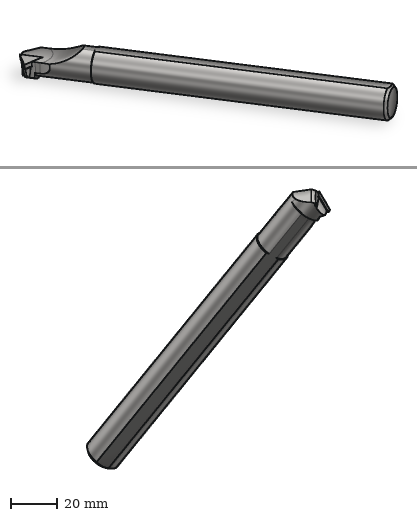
import cadquery as cq
import math

LENGTH = 169.7
SHANK_RADIUS = 8.1
NECK_RADIUS = 7.8
NECK_END = 34.6
ACROSS_FLATS = 15.1
FLAT_HEIGHT = ACROSS_FLATS / 2
END_CHAMFER = 1.4
STEP_CHAMFER = 0.3

OVERALL_HEIGHT = 16.3
HEAD_RADIUS = OVERALL_HEIGHT - FLAT_HEIGHT
HEAD_OFFSET = -1.0
HEAD_END = 8.7

NOSE_FRONT = 0.7
NOSE_BOTTOM_FRONT = 1.5
NOSE_CORNER = (1.2, 2.0)
NOSE_SHOULDER = (7.1, NECK_RADIUS)

RAKE_HEIGHT = 1.2
RAKE_ANGLE = 4.6
TROUGH_CENTRE_X = 3.7
TROUGH_FLOOR_RADIUS = 10.4
TROUGH_ARC_RADIUS = 20.4
TROUGH_ARC_ANGLE = math.radians(65)

INSERT_SIDE = 10.5
INSERT_BACK_Y = -1.4
INSERT_THICKNESS = 2.5
RELIEF_ANGLE = 7.0
SEAT_SETBACK = 0.3

FLANK_START_Y = -2.0
WALL_Y = -6.8
WALL_BEND_X = 8.8
WALL_INNER_Y = -6.3
WALL_END = 11.0
RUNOUT_RADIUS = 11.9
RUNOUT_LENGTH = 5.8

MARGIN = 17.0

tilt = math.radians(RAKE_ANGLE)
rake_plane = cq.Plane(
    origin=(0, 0, RAKE_HEIGHT),
    xDir=(1, 0, 0),
    normal=(0, -math.sin(tilt), math.cos(tilt)),
)
insert_tip = (INSERT_SIDE / 2, INSERT_BACK_Y - INSERT_SIDE * math.sqrt(3) / 2)


def x_cylinder(radius, start, end, y=0.0):
    return cq.Workplane("YZ", origin=(start, 0, 0)).center(y, 0).circle(radius).extrude(end - start)


def tapered_triangle(tip, side, depth):
    """Equilateral prism below the rake plane, pointing to -Y and narrowing downward."""
    back_y = tip[1] + side * math.sqrt(3) / 2
    corners = [(tip[0] - side / 2, back_y), tip, (tip[0] + side / 2, back_y)]
    return cq.Workplane(rake_plane).polyline(corners).close().extrude(-depth, taper=RELIEF_ANGLE)


def bar_blank():
    shank = x_cylinder(SHANK_RADIUS, NECK_END, LENGTH)
    shank = shank.faces(">X").chamfer(END_CHAMFER).faces("<X").chamfer(STEP_CHAMFER)
    bar = shank.union(x_cylinder(NECK_RADIUS, 0, NECK_END))
    flats = cq.Workplane("XY").box(2 * LENGTH, 2 * MARGIN, 2 * FLAT_HEIGHT)
    return bar.intersect(flats).union(x_cylinder(HEAD_RADIUS, 0, HEAD_END, HEAD_OFFSET))


def nose_cutter():
    """Everything in front of the rounded and bevelled nose."""
    slope = (NOSE_SHOULDER[1] - NOSE_CORNER[1]) / (NOSE_SHOULDER[0] - NOSE_CORNER[0])
    outside_x = NOSE_SHOULDER[0] + (MARGIN - NOSE_SHOULDER[1]) / slope
    return (
        cq.Workplane("XY", origin=(0, 0, -MARGIN))
        .moveTo(-MARGIN, FLANK_START_Y)
        .lineTo(NOSE_FRONT, FLANK_START_Y)
        .lineTo(NOSE_FRONT, 0)
        .tangentArcPoint(NOSE_CORNER, relative=False)
        .lineTo(outside_x, MARGIN)
        .lineTo(-MARGIN, MARGIN)
        .close()
        .extrude(2 * MARGIN)
    )


def nose_lean_cutter():
    """Wedge that leans the narrow front strip back toward the bottom."""
    corners = [
        (NOSE_FRONT, RAKE_HEIGHT),
        (NOSE_BOTTOM_FRONT, -HEAD_RADIUS),
        (-MARGIN, -HEAD_RADIUS),
        (-MARGIN, RAKE_HEIGHT),
    ]
    return cq.Workplane("XZ").polyline(corners).close().extrude(MARGIN)


def trough_cutter():
    """Flat round floor that flares upward along an arc."""
    def arc_point(angle):
        return (
            TROUGH_FLOOR_RADIUS + TROUGH_ARC_RADIUS * math.sin(angle),
            TROUGH_ARC_RADIUS * (1 - math.cos(angle)),
        )

    rim = arc_point(TROUGH_ARC_ANGLE)
    section_plane = cq.Plane(
        origin=rake_plane.toWorldCoords((TROUGH_CENTRE_X, 0, 0)),
        xDir=(1, 0, 0),
        normal=-rake_plane.yDir,
    )
    return (
        cq.Workplane(section_plane)
        .lineTo(TROUGH_FLOOR_RADIUS, 0)
        .threePointArc(arc_point(TROUGH_ARC_ANGLE / 2), rim)
        .lineTo(0, rim[1])
        .close()
        .revolve(360, (0, 0), (0, 1))
    )


def clearance_cutter():
    """Space around the relieved flanks below the insert, with a side wall that runs out in an arc."""
    def runout_point(length):
        drop = RUNOUT_RADIUS - math.sqrt(RUNOUT_RADIUS**2 - length**2)
        return (WALL_END + length, WALL_Y - drop)

    runout = runout_point(RUNOUT_LENGTH)
    space = (
        cq.Workplane(rake_plane)
        .moveTo(-MARGIN, FLANK_START_Y)
        .lineTo(insert_tip[0], FLANK_START_Y)
        .lineTo(insert_tip[0], WALL_INNER_Y)
        .lineTo(WALL_BEND_X, WALL_Y)
        .lineTo(WALL_END, WALL_Y)
        .threePointArc(runout_point(RUNOUT_LENGTH / 2), runout)
        .lineTo(runout[0], -MARGIN)
        .lineTo(-MARGIN, -MARGIN)
        .close()
        .extrude(MARGIN, both=True)
    )
    seat_tip = (insert_tip[0], insert_tip[1] + 2 * SEAT_SETBACK)
    return space.cut(tapered_triangle(seat_tip, 3 * INSERT_SIDE, MARGIN))


insert = tapered_triangle(insert_tip, INSERT_SIDE, INSERT_THICKNESS)

holder = bar_blank()
for cutter in (nose_cutter(), nose_lean_cutter(), trough_cutter(), clearance_cutter(), insert):
    holder = holder.cut(cutter)

result = cq.Compound.makeCompound([holder.solids().val(), insert.val()])